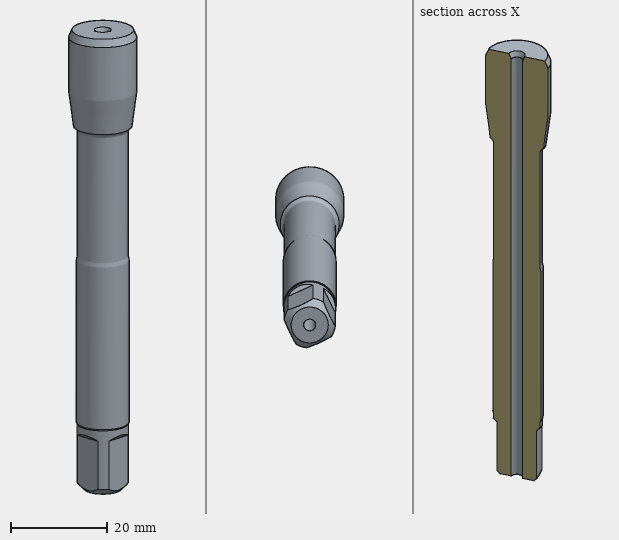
import cadquery as cq

length = 100.0

head_radius = 14.2 / 2
head_bottom = length - 13.3
head_chamfer_width = 0.7
head_chamfer_height = 1.6

taper_bottom = length - 20.9
taper_end_radius = 6.1
transition_mid_radius = 5.5
transition_height = 1.1

neck_radius = 10.6 / 2
neck_bottom = length - 49.2
shank_radius = 11.0 / 2
shank_top = neck_bottom - 0.9
shank_bottom = 14.3
shank_chamfer_height = 0.3

drive_radius = 10.7 / 2
square_width = 9.0
square_top = 12.0
square_runout = drive_radius - square_width / 2
end_chamfer = 1.5

bore_diameter = 2.5
mouth_diameter = 3.5
mouth_angle = 45


def turned_body():
    """Revolve the half outline of the shaft about Z."""
    transition_bottom = taper_bottom - transition_height
    return (
        cq.Workplane("XZ")
        .moveTo(0, 0)
        .lineTo(drive_radius - end_chamfer, 0)
        .lineTo(drive_radius, end_chamfer)
        .lineTo(drive_radius, shank_bottom)
        .lineTo(shank_radius, shank_bottom + shank_chamfer_height)
        .lineTo(shank_radius, shank_top)
        .lineTo(neck_radius, neck_bottom)
        .lineTo(neck_radius, transition_bottom)
        .threePointArc(
            (transition_mid_radius, taper_bottom - transition_height / 2),
            (taper_end_radius, taper_bottom),
        )
        .lineTo(head_radius, head_bottom)
        .lineTo(head_radius, length - head_chamfer_height)
        .lineTo(head_radius - head_chamfer_width, length)
        .lineTo(0, length)
        .close()
        .revolve(360, (0, 0, 0), (0, 1, 0))
    )


def flat_cutter(angle):
    """Material outside one flat of the square, with a 45 degree runout at its top."""
    flat = square_width / 2
    return (
        cq.Workplane("XZ")
        .moveTo(flat, 0)
        .lineTo(flat, square_top)
        .lineTo(flat + 2 * square_runout, square_top + 2 * square_runout)
        .lineTo(flat + 2 * square_runout, 0)
        .close()
        .extrude(drive_radius, both=True)
        .rotate((0, 0, 0), (0, 0, 1), angle)
    )


result = turned_body()
for flat_angle in (0, 90, 180, 270):
    result = result.cut(flat_cutter(flat_angle))

result = result.faces(">Z").workplane().cskHole(bore_diameter, mouth_diameter, mouth_angle)